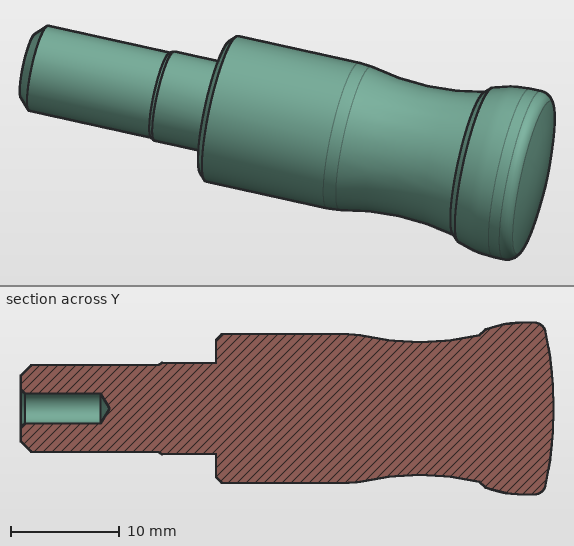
import cadquery as cq
import math

LENGTH = 49.0

PIN_RADIUS = 4.0
PIN_CHAMFER = 1.0
PIN_END = 12.65
SHOULDER_RADIUS = 4.2
SHOULDER_START = 13.0

BODY_RADIUS = 6.85
BODY_START = 17.95
BODY_CHAMFER = 0.55
BODY_END = 30.05

GRIP_START = 31.2
GRIP_START_RADIUS = 6.75
WAIST_X = 36.35
WAIST_RADIUS = 6.12
GRIP_END = 42.15
GRIP_END_RADIUS = 6.75

HEAD_RADIUS = 7.95
FLARE_START = 42.75
FLARE_START_RADIUS = 7.3
FLARE_END = 46.1
RIM_END = 47.15
DOME_HEIGHT = 0.8
DOME_EDGE_RADIUS = 7.2

HOLE_RADIUS = 1.35
HOLE_MOUTH_RADIUS = 1.75
HOLE_DEPTH = 7.35
DRILL_POINT_ANGLE = 118.0


def revolve_about_x(profile):
    """Spin a closed XY profile a full turn about the X axis."""
    return profile.close().revolve(360, (0, 0, 0), (1, 0, 0))


def make_handle():
    """Solid of revolution: pin, shoulder, body, grip and domed head."""
    dome_edge_x = LENGTH - DOME_HEIGHT
    dome_sphere_radius = (DOME_EDGE_RADIUS**2 + DOME_HEIGHT**2) / (2 * DOME_HEIGHT)
    dome_mid_radius = DOME_EDGE_RADIUS / 2
    dome_mid_x = LENGTH - dome_sphere_radius + math.sqrt(dome_sphere_radius**2 - dome_mid_radius**2)

    profile = (
        cq.Workplane("XY")
        .moveTo(0, 0)
        .lineTo(0, PIN_RADIUS - PIN_CHAMFER)
        .lineTo(PIN_CHAMFER, PIN_RADIUS)
        .lineTo(PIN_END, PIN_RADIUS)
        .lineTo(SHOULDER_START, SHOULDER_RADIUS)
        .lineTo(BODY_START, SHOULDER_RADIUS)
        .lineTo(BODY_START, BODY_RADIUS - BODY_CHAMFER)
        .lineTo(BODY_START + BODY_CHAMFER, BODY_RADIUS)
        .lineTo(BODY_END, BODY_RADIUS)
        .tangentArcPoint((GRIP_START, GRIP_START_RADIUS), relative=False)
        .threePointArc((WAIST_X, WAIST_RADIUS), (GRIP_END, GRIP_END_RADIUS))
        .lineTo(FLARE_START, FLARE_START_RADIUS)
    )
    rise = HEAD_RADIUS - FLARE_START_RADIUS
    run = FLARE_END - FLARE_START
    flare_arc_radius = (run**2 + rise**2) / (2 * rise)
    flare_mid_drop = flare_arc_radius - math.sqrt(flare_arc_radius**2 - (run / 2) ** 2)
    profile = (
        profile
        .threePointArc(
            (FLARE_START + run / 2, HEAD_RADIUS - flare_mid_drop),
            (FLARE_END, HEAD_RADIUS),
        )
        .lineTo(RIM_END, HEAD_RADIUS)
        .tangentArcPoint((dome_edge_x, DOME_EDGE_RADIUS), relative=False)
        .threePointArc((dome_mid_x, dome_mid_radius), (LENGTH, 0))
    )
    return revolve_about_x(profile)


def make_hole():
    """Drilled hole with a 45-degree countersink and a conical bottom."""
    countersink_depth = HOLE_MOUTH_RADIUS - HOLE_RADIUS
    point_length = HOLE_RADIUS / math.tan(math.radians(DRILL_POINT_ANGLE / 2))
    return revolve_about_x(
        cq.Workplane("XY")
        .moveTo(0, 0)
        .lineTo(0, HOLE_MOUTH_RADIUS)
        .lineTo(countersink_depth, HOLE_RADIUS)
        .lineTo(HOLE_DEPTH, HOLE_RADIUS)
        .lineTo(HOLE_DEPTH + point_length, 0)
    )


result = make_handle().cut(make_hole())